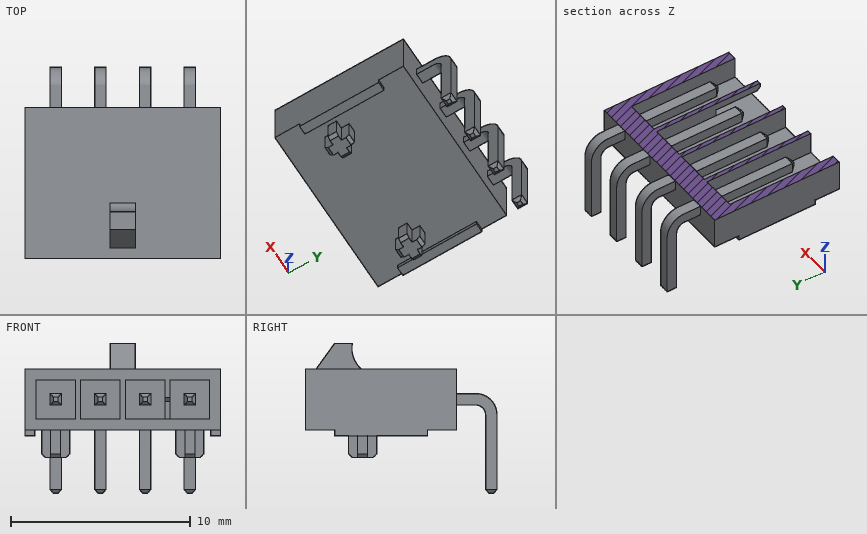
import cadquery as cq

body_width = 10.94
body_depth = 8.45
body_height = 3.42

pin_count = 4
pitch = 2.49
pocket_size = 2.2
pocket_depth = 7.0
pocket_z = body_height / 2

window_depth = 3.0
window_height = 0.98
window_chamfer = 0.22

pin_size = 0.65
pin_recess = 2.0
pin_reach = 2.25
pin_drop = 3.53
bend_drop = 1.18
bend_outer_run = 1.0
bend_inner_run = 0.46
bend_inner_radius = 0.55
tip_length = 0.23
tip_size = 0.25

latch_width = 1.42
latch_height = 1.42
latch_front_y = 0.6
latch_top_front_y = 1.63
latch_top_back_y = 2.63
latch_back_y = 3.12
latch_back_radius = 1.53

foot_width = 0.57
foot_height = 0.32
foot_inset = 1.63

peg_y = 3.19
peg_span = 1.59
peg_web = 0.56
peg_height = 1.53
peg_chamfer = 0.21

pin_xs = [(i - (pin_count - 1) / 2) * pitch for i in range(pin_count)]


def block(x, y, z, x_size, y_size, z_size):
    """Box centred on x, running from y and z in the positive directions."""
    corner = (x - x_size / 2, y, z)
    return cq.Workplane("XY").box(x_size, y_size, z_size, centered=False).translate(corner)


def extruded_across_x(profile, x, width):
    """Closed YZ profile extruded to the given width, centred on x."""
    return profile.close().extrude(width / 2, both=True).translate((x, 0, 0))


def make_pocket(x):
    return block(x, 0, pocket_z - pocket_size / 2, pocket_size, pocket_depth, pocket_size)


def make_divider_window():
    """Opening at the foot of the last divider, chamfered at its upper front edge."""
    floor_z = pocket_z - pocket_size / 2
    top_z = floor_z + window_height
    profile = (
        cq.Workplane("YZ")
        .moveTo(0, floor_z)
        .lineTo(window_depth, floor_z)
        .lineTo(window_depth, top_z)
        .lineTo(window_chamfer, top_z)
        .lineTo(0, top_z + window_chamfer)
    )
    divider_x = (pin_xs[-2] + pin_xs[-1]) / 2
    return extruded_across_x(profile, divider_x, pitch - pocket_size)


def make_tip(plane):
    """Blunt pyramid that ends a pin, pointing along the plane's normal."""
    return (
        cq.Workplane(plane)
        .rect(pin_size, pin_size)
        .workplane(offset=tip_length)
        .rect(tip_size, tip_size)
        .loft(ruled=True)
    )


def make_pin(x):
    """Square pin that runs back out of its pocket and bends straight down."""
    front_y = pin_recess + tip_length
    back_y = body_depth + pin_reach
    inner_y = back_y - pin_size
    top_z = pocket_z + pin_size / 2
    under_z = top_z - pin_size
    shank_end_z = tip_length - pin_drop
    bend_start_z = top_z - bend_drop

    outer_edge_end = (back_y - bend_outer_run, top_z)
    inner_edge_end = (inner_y - bend_inner_run, under_z)
    profile = (
        cq.Workplane("YZ")
        .moveTo(back_y, shank_end_z)
        .lineTo(back_y, bend_start_z)
        .tangentArcPoint(outer_edge_end, relative=False)
        .lineTo(front_y, top_z)
        .lineTo(front_y, under_z)
        .lineTo(*inner_edge_end)
        .radiusArc((inner_y, bend_start_z), bend_inner_radius)
        .lineTo(inner_y, shank_end_z)
    )
    pin = extruded_across_x(profile, x, pin_size)
    mating_tip = make_tip(cq.Plane((x, front_y, pocket_z), (1, 0, 0), (0, -1, 0)))
    solder_tip = make_tip(cq.Plane((x, back_y - pin_size / 2, shank_end_z), (1, 0, 0), (0, 0, -1)))
    return pin.union(mating_tip).union(solder_tip)


def make_latch():
    """Ramp with a sloped front and a hollow back."""
    top_z = body_height + latch_height
    profile = (
        cq.Workplane("YZ")
        .moveTo(latch_front_y, body_height)
        .lineTo(latch_top_front_y, top_z)
        .lineTo(latch_top_back_y, top_z)
        .radiusArc((latch_back_y, body_height), -latch_back_radius)
    )
    return extruded_across_x(profile, 0, latch_width)


def make_foot(side):
    x = side * (body_width - foot_width) / 2
    return block(x, foot_inset, -foot_height, foot_width, body_depth - 2 * foot_inset, foot_height)


def make_peg(x):
    """Two crossed webs, each bevelled at the lower end of its narrow faces."""
    web = block(0, -peg_web / 2, -peg_height, peg_span, peg_web, peg_height)
    web = web.faces("<Z").edges("|Y").chamfer(peg_chamfer)
    crossed_web = web.rotate((0, 0, 0), (0, 0, 1), 90)
    return web.union(crossed_web).translate((x, peg_y, 0))


result = block(0, 0, 0, body_width, body_depth, body_height)
for pin_x in pin_xs:
    result = result.cut(make_pocket(pin_x))
result = result.cut(make_divider_window())

for pin_x in pin_xs:
    result = result.union(make_pin(pin_x))
result = result.union(make_latch())
for side in (-1, 1):
    result = result.union(make_foot(side))
for peg_x in (pin_xs[0], pin_xs[-1]):
    result = result.union(make_peg(peg_x))